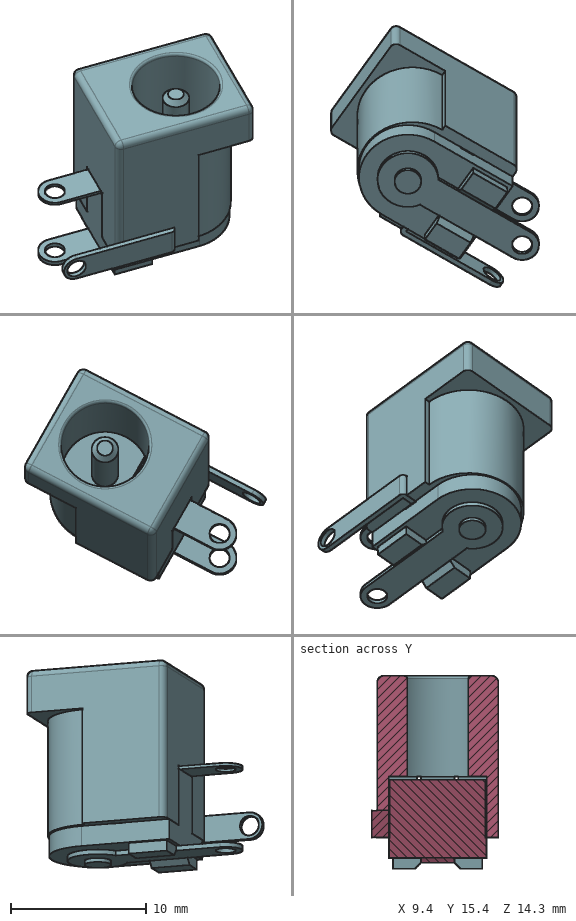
import cadquery as cq


housing_width = 9.0
housing_length = 11.0
housing_height = 12.0
edge_radius = 0.5
back_y = housing_width / 2
front_y = back_y - housing_length
barrel_radius = 4.08
head_height = 3.26
bore_radius = 3.25
rim_radius = 0.2
bore_floor_z = 4.53

base_width = 7.22
base_thickness = 1.51
base_bottom_z = -base_thickness
base_axis_y = 0.4
tongue_width = 2.91
clearance = 0.06
cavity_back_y = -1.94

lug_width = 2.5
lug_hole_radius = 0.74
lug_reach = 4.4
lug_tip_y = front_y - lug_reach
spring_thickness = 0.23
spring_inner_y = -3.03
side_thickness = 0.4
side_height = 2.02
side_bend_radius = 0.38
rear_thickness = 0.35
rear_disc_radius = 2.25

pin_radius = 0.99
pin_tip_radius = 0.59
pin_tip_height = 0.4
pin_top_z = 11.0
tail_length = 0.65

foot_height = 0.8
foot_outer_x = 3.31
foot_length = 2.99
foot_setback = 0.3

tongue_top_z = bore_floor_z - spring_thickness
slot_width = tongue_width + 2 * clearance
plug_width = base_width - 2 * clearance
plug_back_y = cavity_back_y - clearance
cavity_front_y = spring_inner_y - clearance


def block(x_range, y_range, z_range):
    """Box between the given limits."""
    lows, highs = zip(x_range, y_range, z_range)
    sizes = [high - low for low, high in zip(lows, highs)]
    return cq.Workplane("XY").box(*sizes, centered=False).translate(lows)


def centred_block(width, y_range, z_range):
    """Box between the given limits, centred on X = 0."""
    return block((-width / 2, width / 2), y_range, z_range)


def cylinder(radius, axis_y, bottom_z, top_z):
    """Upright cylinder with its axis at X = 0."""
    return cq.Workplane("XY", origin=(0, axis_y, bottom_z)).circle(radius).extrude(top_z - bottom_z)


def flat_lug(inner_y, bottom_z, thickness):
    """Horizontal strip with a round, pierced end."""
    hole_y = lug_tip_y + lug_width / 2
    strip = centred_block(lug_width, (hole_y, inner_y), (bottom_z, bottom_z + thickness))
    end = cylinder(lug_width / 2, hole_y, bottom_z, bottom_z + thickness)
    hole = cylinder(lug_hole_radius, hole_y, bottom_z, bottom_z + thickness)
    return strip.union(end).cut(hole)


def make_pin():
    """Centre pin with a tapered tip and an offset rivet tail through the base."""
    shoulder_z = pin_top_z - pin_tip_height
    profile = [
        (0, 0),
        (pin_radius, 0),
        (pin_radius, shoulder_z),
        (pin_tip_radius, pin_top_z),
        (0, pin_top_z),
    ]
    shaft = cq.Workplane("XZ").polyline(profile).close().revolve(360, (0, 0, 0), (0, 1, 0))
    tail = cylinder(pin_radius, base_axis_y, base_bottom_z - tail_length, 0)
    return shaft.union(tail)


def make_spring_lug():
    """Upper contact, lying on the base's tongue."""
    return flat_lug(spring_inner_y, tongue_top_z, spring_thickness)


def make_rear_lug(pin):
    """Lower contact under the base, with a disc around the rivet tail."""
    bottom_z = base_bottom_z - rear_thickness
    disc = cylinder(rear_disc_radius, base_axis_y, bottom_z, base_bottom_z)
    return flat_lug(base_axis_y, bottom_z, rear_thickness).union(disc).cut(pin)


def make_side_lug():
    """Upright contact along the +X side, bent inward through the housing wall."""
    wall_x = housing_width / 2
    outer_x = wall_x + side_thickness
    end_radius = side_height / 2
    hole_y = lug_tip_y + end_radius
    z_range = (0, side_height)
    plate = block((wall_x, outer_x), (hole_y, cavity_back_y), z_range)
    plate = plate.edges("|Z and >X and >Y").fillet(side_bend_radius)
    leg = block((base_width / 2, wall_x), (cavity_back_y - side_thickness, cavity_back_y), z_range)
    end_plane = cq.Workplane("YZ", origin=(wall_x, hole_y, end_radius))
    end = end_plane.circle(end_radius).extrude(side_thickness)
    hole = end_plane.circle(lug_hole_radius).extrude(side_thickness)
    return plate.union(leg).union(end).cut(hole)


def make_base(pin):
    """D-shaped plate with a plug and tongue that rise into the housing."""
    z_range = (base_bottom_z, 0)
    plate = cylinder(base_width / 2, base_axis_y, *z_range)
    plate = plate.union(centred_block(base_width, (front_y, base_axis_y), z_range))
    plug = centred_block(plug_width, (spring_inner_y, plug_back_y), (0, tongue_top_z))
    tongue = centred_block(tongue_width, (front_y, spring_inner_y), (0, tongue_top_z))
    return plate.union(plug).union(tongue).cut(pin)


def make_foot(side):
    """Block under the base beside the rear lug, on the +X (1) or -X (-1) side."""
    inner_x = lug_width / 2
    chamfer = foot_height - rear_thickness
    bottom_z = base_bottom_z - foot_height
    outline = [
        (side * inner_x, base_bottom_z),
        (side * foot_outer_x, base_bottom_z),
        (side * foot_outer_x, bottom_z),
        (side * (inner_x + chamfer), bottom_z),
        (side * inner_x, bottom_z + chamfer),
    ]
    plane = cq.Workplane("XZ", origin=(0, front_y + foot_setback, 0))
    return plane.polyline(outline).close().extrude(-foot_length)


def make_housing(pin, side_lug):
    """Rounded box with a barrel-shaped back, a bore and openings for base and contacts."""
    head_bottom_z = housing_height - head_height
    body = centred_block(housing_width, (front_y, back_y), (0, housing_height))
    body = body.edges("|Z").fillet(edge_radius).faces(">Z").edges().fillet(edge_radius)
    body = body.cut(centred_block(housing_width, (0, back_y), (0, head_bottom_z)))
    body = body.union(cylinder(barrel_radius, 0, 0, head_bottom_z))

    bore = cylinder(bore_radius, 0, bore_floor_z, housing_height)
    body = body.cut(bore)
    inner_circle = cq.selectors.RadiusNthSelector(0)
    body = body.faces(">Z").edges("%CIRCLE").edges(inner_circle).fillet(rim_radius)

    cavity = centred_block(base_width, (cavity_front_y, cavity_back_y), (0, bore_floor_z))
    slot = centred_block(slot_width, (front_y, cavity_front_y), (0, bore_floor_z))
    return body.cut(cavity).cut(slot).cut(pin).cut(side_lug)


pin = make_pin()
spring_lug = make_spring_lug()
rear_lug = make_rear_lug(pin)
side_lug = make_side_lug()
base = make_base(pin)
housing = make_housing(pin, side_lug)
feet = [make_foot(side) for side in (-1, 1)]

bodies = [housing, base, pin, spring_lug, side_lug, rear_lug, *feet]
result = cq.Compound.makeCompound([body.val() for body in bodies])